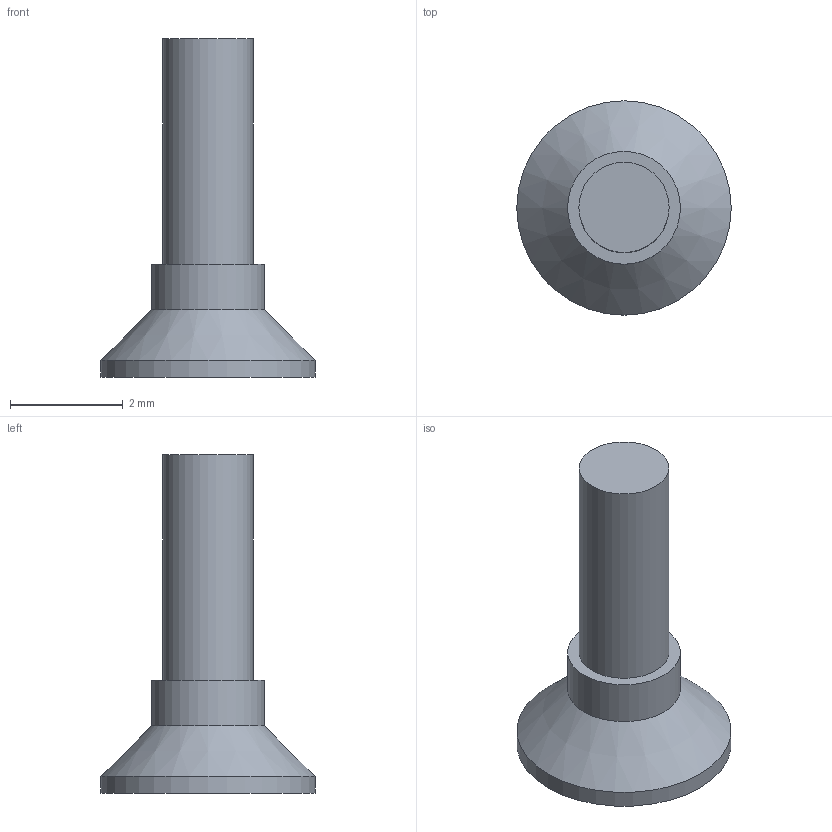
import cadquery as cq

head_diameter = 3.8
collar_diameter = 2.0
shank_diameter = 1.6
total_height = 6.0
rim_height = 0.3
collar_height = 0.8

head_radius = head_diameter / 2
collar_radius = collar_diameter / 2
shank_radius = shank_diameter / 2
cone_height = head_radius - collar_radius
cone_top = rim_height + cone_height
collar_top = cone_top + collar_height


def turned_rivet():
    """Flat-bottomed conical head, stepped collar and plain shank, turned about Z."""
    half_profile = (
        cq.Workplane("XZ")
        .moveTo(0, 0)
        .lineTo(head_radius, 0)
        .lineTo(head_radius, rim_height)
        .lineTo(collar_radius, cone_top)
        .lineTo(collar_radius, collar_top)
        .lineTo(shank_radius, collar_top)
        .lineTo(shank_radius, total_height)
        .lineTo(0, total_height)
        .close()
    )
    return half_profile.revolve(360, (0, 0, 0), (0, 1, 0))


result = turned_rivet()